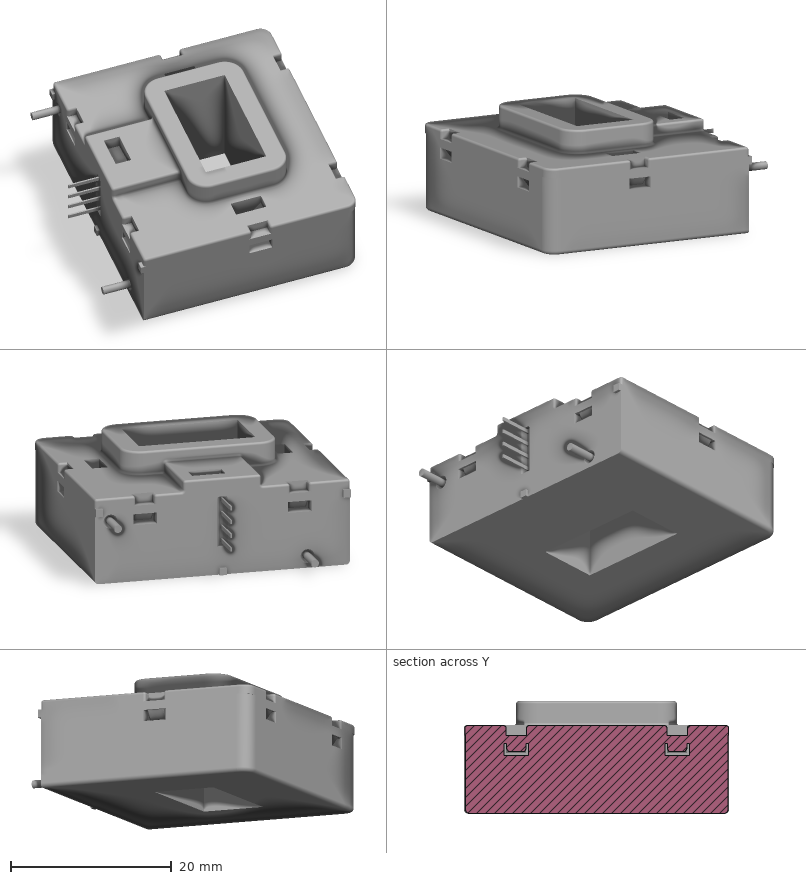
import cadquery as cq
import math

WIDTH = 33.0
BACK_Y = 13.0
FRONT_Y = -15.5
HALF_WIDTH = WIDTH / 2
CASE_CORNER_RADIUS = 1.75
CASE_BOTTOM_FILLET = 0.5

LID_THICKNESS = 1.2
LID_TOP = 11.0
LID_BOTTOM = LID_TOP - LID_THICKNESS
LID_CORNER_RADIUS = 1.5
EDGE_FILLET = 0.3
WINDOW_X = 15.0
WINDOW_Y = 8.0
COLLAR_WALL = 2.5
COLLAR_X = WINDOW_X + 2 * COLLAR_WALL
COLLAR_Y = WINDOW_Y + 2 * COLLAR_WALL
COLLAR_TOP = 14.0
HALF_BRIDGE = 5.0
BRIDGE_TOP = 12.5

SELECT_MARGIN = 0.01

CLIP_X = 10.0
NOTCH_WIDTH = 2.5
NOTCH_DEPTH = LID_THICKNESS
SLOT_WIDTH = 3.0
SLOT_TOP = 8.7
SLOT_HEIGHT = 1.4
SLOT_DEPTH = 1.5
CATCH_WIDTH = NOTCH_WIDTH
CATCH_HEIGHT = 1.15
CATCH_SETBACK = 0.3
CATCH_SLANT = math.radians(37.5)
CATCH_CHAMFER = 0.25

SIDE_POCKET_X = 12.0
SIDE_POCKET_WIDTH = 2.0
SIDE_POCKET_LENGTH = 4.0
BRIDGE_POCKET_LEFT = -3.35
BRIDGE_POCKET_RIGHT = 0.95
BRIDGE_POCKET_FRONT = -13.55
BRIDGE_POCKET_BACK = -11.5
BRIDGE_POCKET_LEDGE = 0.4
BRIDGE_POCKET_DEPTH = 1.65
BRIDGE_POCKET_END_DEPTH = 1.28

GROOVE_WIDTH = 1.4
GROOVE_FLOOR_WIDTH = 0.4
GROOVE_BOTTOM = 3.65
GROOVE_TOP = 10.1
GROOVE_CHAMFER = 0.2
CONTACT_COUNT = 4
CONTACT_PITCH = 1.78
CONTACT_LOWEST_Z = 4.33
CONTACT_THICKNESS = 0.2
CONTACT_HEIGHT = 0.5
CONTACT_LENGTH = 4.0

ROOT_DEPTH = 1.5

PIN_PLACES = [(-14.5, 8.0), (11.0, 1.5)]
PIN_RADIUS = 0.5
PIN_LENGTH = 3.5
COUNTERSINK_RADIUS = 0.9

TAB_WIDTH = 0.95
TAB_THICKNESS = 0.4
CORNER_TAB_HEIGHT = 1.0
BOTTOM_TAB_HEIGHT = 0.9


def block(x0, x1, y0, y1, z0, z1):
    """A box given by its limits on each axis."""
    return cq.Workplane("XY").box(x1 - x0, y1 - y0, z1 - z0, centered=False).translate((x0, y0, z0))


def prism_along_y(profile, y0, y1):
    """Extrude a closed XZ profile from y0 to y1."""
    return profile.extrude(y0 - y1).translate((0, y0, 0))


def at_clips(shape):
    """Copies at all six clips of a shape modelled for a wall that faces -Y and lies in the plane y = 0."""
    places = [
        (-CLIP_X, FRONT_Y, 0),
        (CLIP_X, FRONT_Y, 0),
        (-CLIP_X, BACK_Y, 180),
        (CLIP_X, BACK_Y, 180),
        (-HALF_WIDTH, 0, -90),
        (HALF_WIDTH, 0, 90),
    ]
    copies = cq.Workplane("XY")
    for x, y, turn in places:
        copies = copies.add(shape.rotate((0, 0, 0), (0, 0, 1), turn).translate((x, y, 0)))
    return copies.combine()


def on_outline(edge):
    """True for an edge whose middle lies in one of the four outer side planes."""
    middle = edge.Center()
    gaps = [abs(middle.x) - HALF_WIDTH, middle.y - FRONT_Y, middle.y - BACK_Y]
    return min(abs(gap) for gap in gaps) < SELECT_MARGIN


def on_collar_foot(edge):
    """True for an edge where the collar wall meets the lid or the bridge."""
    box = edge.BoundingBox()
    over_collar = abs(edge.Center().x) <= COLLAR_X / 2 and box.ymin > -COLLAR_Y / 2 - SELECT_MARGIN
    above_lid = box.zmin > LID_TOP - SELECT_MARGIN and box.zmax < BRIDGE_TOP + SELECT_MARGIN
    return over_collar and above_lid and box.ymax < COLLAR_Y / 2 + SELECT_MARGIN


def make_case():
    """Lower case with rounded back corners; the bottom is rounded along the back and both sides."""
    case = block(-HALF_WIDTH, HALF_WIDTH, FRONT_Y, BACK_Y, 0, LID_BOTTOM)
    case = case.edges("|Z and >Y").fillet(CASE_CORNER_RADIUS)
    return case.edges("<Z and >Y").fillet(CASE_BOTTOM_FILLET)


def make_bridge():
    """Raised strip with rounded top edges and a filleted foot on the lid."""
    profile = (
        cq.Workplane("XZ")
        .moveTo(-HALF_BRIDGE - EDGE_FILLET, LID_BOTTOM)
        .lineTo(-HALF_BRIDGE - EDGE_FILLET, LID_TOP)
        .radiusArc((-HALF_BRIDGE, LID_TOP + EDGE_FILLET), -EDGE_FILLET)
        .lineTo(-HALF_BRIDGE, BRIDGE_TOP - EDGE_FILLET)
        .radiusArc((-HALF_BRIDGE + EDGE_FILLET, BRIDGE_TOP), EDGE_FILLET)
        .lineTo(HALF_BRIDGE - EDGE_FILLET, BRIDGE_TOP)
        .radiusArc((HALF_BRIDGE, BRIDGE_TOP - EDGE_FILLET), EDGE_FILLET)
        .lineTo(HALF_BRIDGE, LID_TOP + EDGE_FILLET)
        .radiusArc((HALF_BRIDGE + EDGE_FILLET, LID_TOP), -EDGE_FILLET)
        .lineTo(HALF_BRIDGE + EDGE_FILLET, LID_BOTTOM)
        .close()
    )
    return prism_along_y(profile, FRONT_Y, 0)


def make_lid():
    """Lid with clip notches, its outer rim rounded along the lid, the notches and the bridge."""
    lid = block(-HALF_WIDTH, HALF_WIDTH, FRONT_Y, BACK_Y, LID_BOTTOM, LID_TOP)
    notch = block(-NOTCH_WIDTH / 2, NOTCH_WIDTH / 2, -NOTCH_DEPTH, NOTCH_DEPTH, LID_BOTTOM, LID_TOP)
    lid = lid.cut(at_clips(notch))
    uprights = lid.edges("|Z")
    back_corners = uprights.edges(">Y").edges("<X or >X").vals()
    sharp_edges = [edge for edge in uprights.vals() if on_outline(edge) and edge not in back_corners]
    lid = lid.newObject(sharp_edges).fillet(EDGE_FILLET)
    lid = lid.edges("|Z and >Y").edges("<X or >X").fillet(LID_CORNER_RADIUS)

    lid = lid.union(make_bridge())
    rim = [
        edge
        for edge in lid.edges().vals()
        if on_outline(edge) and edge.BoundingBox().zmin > LID_TOP - SELECT_MARGIN
    ]
    return lid.newObject(rim).fillet(EDGE_FILLET)


def make_collar():
    """Raised wall round the window with rounded corners and top edge."""
    collar = block(-COLLAR_X / 2, COLLAR_X / 2, -COLLAR_Y / 2, COLLAR_Y / 2, LID_BOTTOM, COLLAR_TOP)
    return collar.edges("|Z").fillet(COLLAR_WALL).faces(">Z").edges().fillet(EDGE_FILLET)


def make_clip_slot():
    """Case slot with the slanted catch left standing in it, leaning inward toward the bottom."""
    slot = block(-SLOT_WIDTH / 2, SLOT_WIDTH / 2, 0, SLOT_DEPTH, SLOT_TOP - SLOT_HEIGHT, SLOT_TOP)
    foot_y = CATCH_SETBACK + CATCH_HEIGHT * math.tan(CATCH_SLANT)
    side = [
        (CATCH_SETBACK, SLOT_TOP),
        (SLOT_DEPTH, SLOT_TOP),
        (SLOT_DEPTH, SLOT_TOP - CATCH_HEIGHT),
        (foot_y, SLOT_TOP - CATCH_HEIGHT),
    ]
    catch = cq.Workplane("YZ").polyline(side).close().extrude(CATCH_WIDTH / 2, both=True)
    slanted_edges = catch.faces("<Y").edges("<X or >X")
    return slot.cut(slanted_edges.chamfer(CATCH_CHAMFER))


def make_side_pocket():
    """Pocket beside the collar whose floor falls at 45 degrees toward the front."""
    back_y = SIDE_POCKET_LENGTH / 2
    profile = [
        (back_y, LID_TOP),
        (back_y, LID_BOTTOM),
        (-back_y, LID_BOTTOM - SIDE_POCKET_LENGTH),
        (-back_y, LID_TOP),
    ]
    return cq.Workplane("YZ").polyline(profile).close().extrude(SIDE_POCKET_WIDTH / 2, both=True)


def make_bridge_pocket():
    """Pocket in the bridge with a flat ledge at its left end and a floor that rises to the right."""
    floor_z = BRIDGE_TOP - BRIDGE_POCKET_DEPTH
    profile = [
        (BRIDGE_POCKET_LEFT, BRIDGE_TOP),
        (BRIDGE_POCKET_LEFT, floor_z),
        (BRIDGE_POCKET_LEFT + BRIDGE_POCKET_LEDGE, floor_z),
        (BRIDGE_POCKET_RIGHT, BRIDGE_TOP - BRIDGE_POCKET_END_DEPTH),
        (BRIDGE_POCKET_RIGHT, BRIDGE_TOP),
    ]
    outline = cq.Workplane("XZ").polyline(profile).close()
    return prism_along_y(outline, BRIDGE_POCKET_FRONT, BRIDGE_POCKET_BACK)


def make_contact_groove():
    """Upright front groove with 45 degree sides, a narrow flat floor and chamfered top corners."""
    height = GROOVE_TOP - GROOVE_BOTTOM
    depth = (GROOVE_WIDTH - GROOVE_FLOOR_WIDTH) / 2
    section = [
        (-GROOVE_WIDTH / 2, FRONT_Y),
        (-GROOVE_FLOOR_WIDTH / 2, FRONT_Y + depth),
        (GROOVE_FLOOR_WIDTH / 2, FRONT_Y + depth),
        (GROOVE_WIDTH / 2, FRONT_Y),
    ]
    groove = cq.Workplane("XY").polyline(section).close().extrude(height)
    frame = block(-GROOVE_WIDTH / 2, GROOVE_WIDTH / 2, FRONT_Y, FRONT_Y + depth, 0, height)
    frame = frame.edges("|Y and >Z").chamfer(GROOVE_CHAMFER)
    return groove.intersect(frame).translate((0, 0, GROOVE_BOTTOM))


def make_contacts():
    """Row of flat contacts rooted behind the groove floor."""
    contacts = cq.Workplane("XY")
    for index in range(CONTACT_COUNT):
        z = CONTACT_LOWEST_Z + index * CONTACT_PITCH
        contacts = contacts.add(
            block(
                -CONTACT_THICKNESS / 2,
                CONTACT_THICKNESS / 2,
                FRONT_Y - CONTACT_LENGTH,
                FRONT_Y + ROOT_DEPTH,
                z - CONTACT_HEIGHT / 2,
                z + CONTACT_HEIGHT / 2,
            )
        )
    return contacts.combine()


def add_mounting_pin(body, x, z):
    """Cut a 45 degree countersink that narrows to the pin, then add the pin."""
    front = cq.Workplane("XZ", origin=(x, FRONT_Y, z))
    sink_depth = COUNTERSINK_RADIUS - PIN_RADIUS
    sink = cq.Solid.makeCone(
        COUNTERSINK_RADIUS, PIN_RADIUS, sink_depth, pnt=cq.Vector(x, FRONT_Y, z), dir=cq.Vector(0, 1, 0)
    )
    pin = front.circle(PIN_RADIUS).extrude(PIN_LENGTH + ROOT_DEPTH).translate((0, ROOT_DEPTH, 0))
    return body.cut(cq.Workplane(sink)).union(pin)


def make_tab(x0, z0, height):
    """Small spacer tab on the front face with its lower left corner at (x0, z0)."""
    return block(x0, x0 + TAB_WIDTH, FRONT_Y - TAB_THICKNESS, FRONT_Y + TAB_THICKNESS, z0, z0 + height)


def make_part():
    """Join lid, collar and case, cut the openings and add pins, contacts and tabs."""
    body = make_lid().union(make_collar())
    foot = [edge for edge in body.edges().vals() if on_collar_foot(edge)]
    body = body.newObject(foot).fillet(EDGE_FILLET)
    body = body.union(make_case())

    window = block(-WINDOW_X / 2, WINDOW_X / 2, -WINDOW_Y / 2, WINDOW_Y / 2, 0, COLLAR_TOP)
    body = body.cut(window).cut(at_clips(make_clip_slot()))
    for x in (-SIDE_POCKET_X, SIDE_POCKET_X):
        body = body.cut(make_side_pocket().translate((x, 0, 0)))
    body = body.cut(make_bridge_pocket())

    body = body.cut(make_contact_groove()).union(make_contacts())
    for x, z in PIN_PLACES:
        body = add_mounting_pin(body, x, z)

    corner_tab_z = LID_BOTTOM - CORNER_TAB_HEIGHT
    body = body.union(make_tab(-HALF_WIDTH, corner_tab_z, CORNER_TAB_HEIGHT))
    body = body.union(make_tab(HALF_WIDTH - TAB_WIDTH, corner_tab_z, CORNER_TAB_HEIGHT))
    return body.union(make_tab(-TAB_WIDTH / 2, 0, BOTTOM_TAB_HEIGHT))


result = make_part()